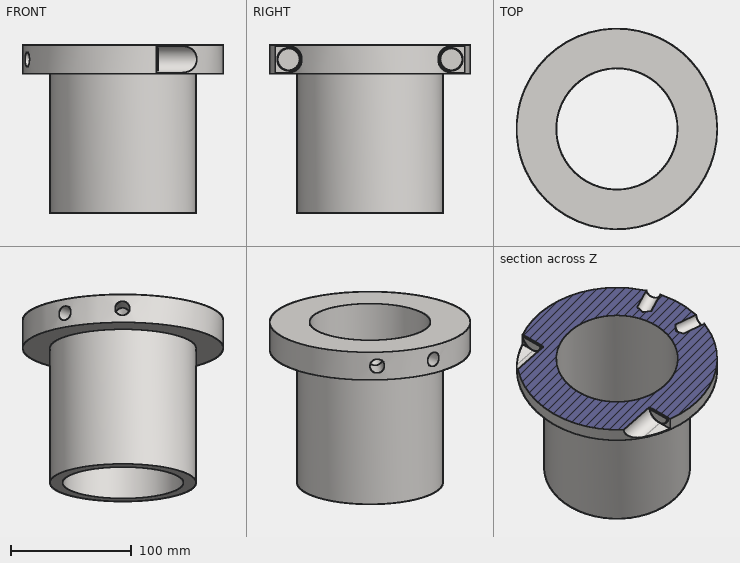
import cadquery as cq
import math

total_height = 139.0
flange_height = 24.0
flange_radius = 83.0
tube_radius = 60.5
bore_radius = 50.0
flange_mid_z = total_height - flange_height / 2

hole_radius = 6.0
hole_side_offset = 25.0
hole_depth = 21.0
drill_point_angle = 118.0
hole_angle = math.degrees(math.asin(hole_side_offset / flange_radius))

pocket_radius = 10.9
pocket_side_offset = 67.2
pocket_floor_x = 27.5

disc_radius = 9.5
disc_thickness = 1.5
disc_chamfer = 0.5

both_sides = (-1, 1)


def flanged_sleeve():
    """Tube with the flange flush with its top end and the bore right through."""
    tube = cq.Workplane("XY").circle(tube_radius).extrude(total_height)
    flange = (
        cq.Workplane("XY")
        .workplane(offset=total_height - flange_height)
        .circle(flange_radius)
        .extrude(flange_height)
    )
    bore = cq.Workplane("XY").circle(bore_radius).extrude(total_height)
    return tube.union(flange).cut(bore)


def rim_hole(side):
    """Blind drilled hole with a conical end, pointing at the sleeve axis."""
    floor_radius = flange_radius - hole_depth
    point_length = hole_radius / math.tan(math.radians(drill_point_angle / 2))
    tip_radius = floor_radius - point_length
    drill = (
        cq.Workplane("XZ")
        .moveTo(-flange_radius, 0)
        .lineTo(-flange_radius, hole_radius)
        .lineTo(-floor_radius, hole_radius)
        .lineTo(-tip_radius, 0)
        .close()
        .revolve(360, (0, 0, 0), (1, 0, 0))
    )
    return drill.rotate((0, 0, 0), (0, 0, 1), -side * hole_angle).translate((0, 0, flange_mid_z))


def rod_on_pocket_axis(side, radius, length):
    """Cylinder along +X that starts at the pocket floor."""
    return (
        cq.Workplane("YZ", origin=(pocket_floor_x, side * pocket_side_offset, flange_mid_z))
        .circle(radius)
        .extrude(length)
    )


def pocket(side):
    """Half-round channel along +X with flat walls running outward to the open rim."""
    length = flange_radius - pocket_floor_x
    open_width = flange_radius - pocket_side_offset
    open_centre = (
        pocket_floor_x + length / 2,
        side * (pocket_side_offset + open_width / 2),
        flange_mid_z,
    )
    open_part = cq.Workplane("XY", origin=open_centre).box(length, open_width, 2 * pocket_radius)
    return rod_on_pocket_axis(side, pocket_radius, length).union(open_part)


def floor_disc(side):
    disc = rod_on_pocket_axis(side, disc_radius, disc_thickness)
    return disc.faces(">X").chamfer(disc_chamfer)


sleeve = flanged_sleeve()
for side in both_sides:
    sleeve = sleeve.cut(rim_hole(side))
    sleeve = sleeve.cut(pocket(side))

discs = [floor_disc(side) for side in both_sides]

result = cq.Compound.makeCompound([sleeve.val(), *[disc.val() for disc in discs]])